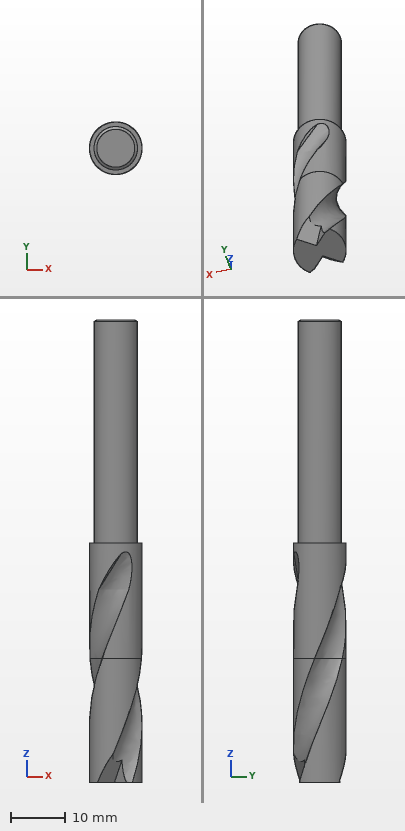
import cadquery as cq
import math

total_length = 85.0
cutter_diameter = 9.7
cutter_radius = cutter_diameter / 2
cutter_length = 44.0
head_length = 22.8
shank_radius = 4.0
shank_chamfer = 0.5
shank_chamfer_height = 0.3

flute_count = 2
flute_spacing = 360.0 / flute_count
flute_length = 35.45
flute_pitch = 74.8
flute_start_angle = 274.0
flute_half_angle = 35.0
flute_floor_radius = 3.1
flute_clearance = 2.55

runout_rise = 10.2
runout_side_slope = 0.64
runout_outward_slope = 0.1

gash_root = (-0.25, -1.2)
gash_lip = (-3.3, -3.5)
gash_heel = (1.95, -3.2)
gash_overshoot = 1.5
gash_rise = 6.8
gash_side_slope = 0.34
gash_outward_slope = 0.4


def flute_profile(angle):
    """Closed wire of the concave flute section, its middle at the given angle in degrees."""
    half_angle = math.radians(flute_half_angle)
    edge_radial = cutter_radius * math.cos(half_angle)
    edge_side = cutter_radius * math.sin(half_angle)
    outside = cutter_radius + flute_clearance
    return (
        cq.Workplane("XY")
        .moveTo(outside, -outside * math.tan(half_angle))
        .lineTo(edge_radial, -edge_side)
        .threePointArc((flute_floor_radius, 0), (edge_radial, edge_side))
        .lineTo(outside, outside * math.tan(half_angle))
        .close()
        .wires()
        .val()
        .rotate(cq.Vector(0, 0, 0), cq.Vector(0, 0, 1), angle)
    )


def flute_helix():
    twist = 360.0 * flute_length / flute_pitch
    return cq.Solid.extrudeLinearWithRotation(
        flute_profile(flute_start_angle), [], cq.Vector(0, 0, 0), cq.Vector(0, 0, flute_length), twist
    )


def flute_runout():
    end_angle = flute_start_angle + 360.0 * flute_length / flute_pitch
    radians = math.radians(end_angle)
    outward = cq.Vector(math.cos(radians), math.sin(radians), 0)
    sideways = cq.Vector(-math.sin(radians), math.cos(radians), 0)
    slope = outward * runout_outward_slope + sideways * runout_side_slope + cq.Vector(0, 0, 1)
    profile = flute_profile(end_angle).translate(cq.Vector(0, 0, flute_length))
    return cq.Solid.extrudeLinear(profile, [], slope * runout_rise)


def end_gash():
    def past(corner):
        """Carry a wall from the gash root through the corner and out of the cutter."""
        return tuple(r + gash_overshoot * (c - r) for r, c in zip(gash_root, corner))

    triangle = cq.Workplane("XY").polyline([gash_root, past(gash_lip), past(gash_heel)]).close()
    slope = cq.Vector(gash_side_slope, -gash_outward_slope, 1)
    return cq.Solid.extrudeLinear(triangle.wires().val(), [], slope * gash_rise)


def cut_around(body, cutter):
    """Cut one copy of the cutter for every flute."""
    for index in range(flute_count):
        body = body.cut(cq.Workplane(cutter.rotate((0, 0, 0), (0, 0, 1), index * flute_spacing)))
    return body


def make_cutting_head():
    head = cq.Workplane("XY").circle(cutter_radius).extrude(head_length)
    head = cut_around(head, flute_helix())
    return cut_around(head, end_gash())


def make_shank():
    shank = (
        cq.Workplane("XY", origin=(0, 0, head_length))
        .circle(cutter_radius)
        .extrude(cutter_length - head_length)
    )
    shank = cut_around(shank, flute_helix())
    shank = cut_around(shank, flute_runout())
    stem = (
        cq.Workplane("XY", origin=(0, 0, cutter_length))
        .circle(shank_radius)
        .extrude(total_length - cutter_length)
        .faces(">Z")
        .chamfer(shank_chamfer_height, shank_chamfer)
    )
    return shank.union(stem)


cutting_head = make_cutting_head()
shank = make_shank()
result = cq.Compound.makeCompound([cutting_head.solids().val(), shank.solids().val()])